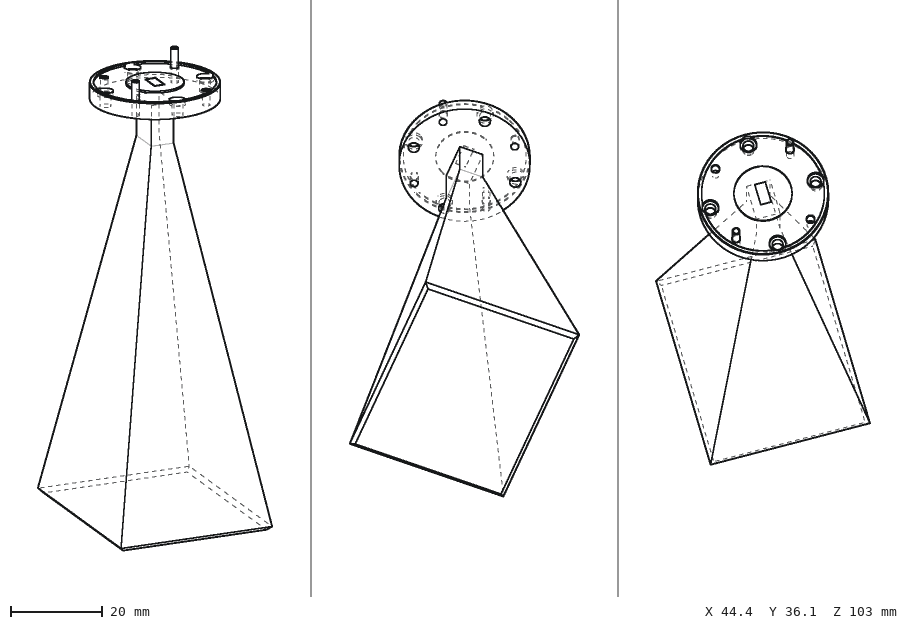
import cadquery as cq
import math

total_height = 103.0
pin_projection = 4.1
flange_thickness = 3.8
neck_length = 9.4
flange_top = total_height - pin_projection
flange_bottom = flange_top - flange_thickness
neck_bottom = flange_bottom - neck_length

mouth_length = 44.4
mouth_width = 36.1
mouth_chamfer = 0.9
neck_size_x = 7.9
neck_size_y = 5.4

flange_diameter = 28.5
boss_diameter = 12.7
rim_inner_diameter = 26.8
rim_chamfer = 0.15
face_relief = 0.4
port_length = 4.8
port_width = 2.4
port_depth = 0.1

bolt_circle_diameter = 23.8
bolt_circle_radius = bolt_circle_diameter / 2
screw_hole_diameter = 2.4
counterbore_diameter = 3.6
counterbore_depth = 0.9
hole_count = 4
pin_count = 2
first_screw_angle = 0
first_dowel_angle = 45
first_pin_angle = 135

pin_diameter = 1.6
pin_chamfer = 0.2
dowel_counterbore_diameter = 1.9
dowel_counterbore_depth = 0.3


def points_on_bolt_circle(first_angle, count):
    """Evenly spaced points on the bolt circle, starting at first_angle degrees."""
    angles = [math.radians(first_angle + i * 360 / count) for i in range(count)]
    return [(bolt_circle_radius * math.cos(a), bolt_circle_radius * math.sin(a)) for a in angles]


def make_horn():
    """Solid pyramid with a chamfered mouth, and its straight neck."""
    chamfer_foot = (
        cq.Workplane("XY")
        .rect(mouth_length - 2 * mouth_chamfer, mouth_width - 2 * mouth_chamfer)
        .workplane(offset=mouth_chamfer)
        .rect(mouth_length, mouth_width)
        .loft(ruled=True)
    )
    pyramid = (
        cq.Workplane("XY", origin=(0, 0, mouth_chamfer))
        .rect(mouth_length, mouth_width)
        .workplane(offset=neck_bottom - mouth_chamfer)
        .rect(neck_size_x, neck_size_y)
        .loft(ruled=True)
    )
    neck = (
        cq.Workplane("XY", origin=(0, 0, neck_bottom))
        .rect(neck_size_x, neck_size_y)
        .extrude(neck_length)
    )
    return chamfer_foot.union(pyramid).union(neck)


def cut_counterbored_holes(flange, points, hole_diameter, bore_diameter, bore_depth):
    """Cut through holes with a counterbore sunk from the relieved top face."""
    relieved_face = flange_top - face_relief
    holes = (
        cq.Workplane("XY", origin=(0, 0, flange_bottom))
        .pushPoints(points)
        .circle(hole_diameter / 2)
        .extrude(flange_thickness)
    )
    counterbores = (
        cq.Workplane("XY", origin=(0, 0, relieved_face - bore_depth))
        .pushPoints(points)
        .circle(bore_diameter / 2)
        .extrude(bore_depth + face_relief)
    )
    return flange.cut(holes).cut(counterbores)


def make_flange():
    """Round flange with its face relief, waveguide port, screw holes and dowel holes."""
    flange = (
        cq.Workplane("XY", origin=(0, 0, flange_bottom))
        .circle(flange_diameter / 2)
        .extrude(flange_thickness)
        .faces(">Z")
        .chamfer(rim_chamfer)
    )
    relief = (
        cq.Workplane("XY", origin=(0, 0, flange_top))
        .circle(rim_inner_diameter / 2)
        .circle(boss_diameter / 2)
        .extrude(-face_relief)
    )
    port = (
        cq.Workplane("XY", origin=(0, 0, flange_top))
        .rect(port_length, port_width)
        .extrude(-port_depth)
    )
    flange = flange.cut(relief).cut(port)
    flange = cut_counterbored_holes(
        flange,
        points_on_bolt_circle(first_screw_angle, hole_count),
        screw_hole_diameter,
        counterbore_diameter,
        counterbore_depth,
    )
    return cut_counterbored_holes(
        flange,
        points_on_bolt_circle(first_dowel_angle, hole_count),
        pin_diameter,
        dowel_counterbore_diameter,
        dowel_counterbore_depth,
    )


def make_pin(x, y):
    """Dowel pin filling its flange hole, with a chamfered tip."""
    return (
        cq.Workplane("XY", origin=(x, y, flange_bottom))
        .circle(pin_diameter / 2)
        .extrude(total_height - flange_bottom)
        .faces(">Z")
        .chamfer(pin_chamfer)
    )


horn_antenna = make_horn().union(make_flange())
pins = [make_pin(x, y) for x, y in points_on_bolt_circle(first_pin_angle, pin_count)]

result = cq.Compound.makeCompound([horn_antenna.val(), *[pin.val() for pin in pins]])